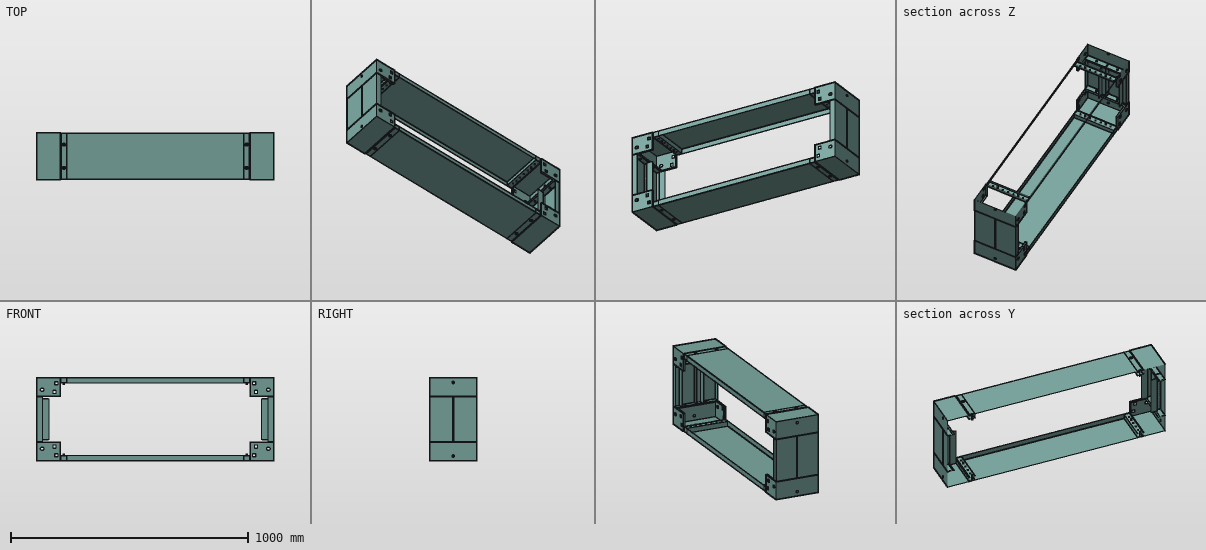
import cadquery as cq

LENGTH = 1000.0
WIDTH = 200.0
HEIGHT = 353.0
END = LENGTH / 2
SIDE = WIDTH / 2
MID_Z = HEIGHT / 2

SHEET = 2.0

BRACKET_LENGTH = 100.0
BRACKET_HEIGHT = 81.0
SIDE_LIP = 9.0
FRONT_LIP_HEIGHT = 21.0
LEDGE_DEPTH = 32.0
SQUARE_HOLE = 12.0
SQUARE_HOLE_SPOTS = [(83.0, 25.0), (75.0, 61.0)]
SLOT_LENGTH = 15.0
SLOT_HEIGHT = 12.0
SLOT_SPOT = (23.0, 52.0)
END_HOLE = 10.0
END_HOLE_Z = 21.0

COVER_GAP = 1.0
COVER_HEIGHT = HEIGHT - 2 * BRACKET_HEIGHT
COVER_WIDTH = SIDE - COVER_GAP
COVER_DEPTH = 25.0
COVER_HOLE = 8.0
RETURN_WIDTH = 19.0
FIN_REACH = 53.0
FIN_END_GAP = 9.0
FIN_ROUND = 5.0

PANEL_SHEET = 1.5
PANEL_GAP = 2.0
PANEL_END = END - BRACKET_LENGTH - PANEL_GAP
PANEL_SIDE = SIDE - PANEL_GAP
PANEL_DEPTH = 24.0
PANEL_CHAMFER = 2.0
FLANGE_CORNER = 3.0
RAIL_WIDTH = 26.0
RAIL_SIDE_GAP = 1.5
RAIL_HOLE = 5.0
RAIL_HOLE_YS = [-72.0, -26.0, 0, 26.0, 72.0]
STUD_X = 385.0
STUD_Y = 49.0
STUD_DIAMETER = 6.0
STUD_TOP = 30.0
STUD_RECESS = 13.0
STUD_RECESS_DEPTH = 1.0


def block(x_range, y_range, z_range):
    """A box between the given limits."""
    limits = (x_range, y_range, z_range)
    size = [high - low for low, high in limits]
    corner = tuple(low for low, high in limits)
    return cq.Workplane().box(*size, centered=False).translate(corner)


def make_bracket():
    """Bracket at the lower +X corner."""
    start = END - BRACKET_LENGTH
    inner_side = SIDE - SHEET
    lip_side = SIDE - SIDE_LIP
    rim_z = BRACKET_HEIGHT - SHEET

    body = block((start, END), (-SIDE, SIDE), (0, BRACKET_HEIGHT))
    body = body.cut(
        block((start + SHEET, END - SHEET), (-inner_side, inner_side), (SHEET, BRACKET_HEIGHT))
    )
    body = body.cut(
        block((start, start + SHEET), (-lip_side, lip_side), (FRONT_LIP_HEIGHT, BRACKET_HEIGHT))
    )

    for lip_y in ((-SIDE, -lip_side), (lip_side, SIDE)):
        body = body.union(block((start, END), lip_y, (rim_z, BRACKET_HEIGHT)))
    body = body.union(block((END - LEDGE_DEPTH, END), (-SIDE, SIDE), (rim_z, BRACKET_HEIGHT)))

    side_plane = cq.Workplane("XZ", origin=(END, SIDE, 0))
    square_spots = [(-inset, z) for inset, z in SQUARE_HOLE_SPOTS]
    square_holes = side_plane.pushPoints(square_spots).rect(SQUARE_HOLE, SQUARE_HOLE).extrude(WIDTH)
    slot_inset, slot_z = SLOT_SPOT
    slot = side_plane.center(-slot_inset, slot_z).slot2D(SLOT_LENGTH, SLOT_HEIGHT).extrude(WIDTH)

    end_plane = cq.Workplane("YZ", origin=(END - SHEET, 0, END_HOLE_Z))
    end_hole = end_plane.circle(END_HOLE / 2).extrude(SHEET)
    return body.cut(square_holes).cut(slot).cut(end_hole)


def make_cover(y_start):
    """End cover at +X, reaching from y_start toward +Y."""
    bottom = BRACKET_HEIGHT
    top = bottom + COVER_HEIGHT
    rim = END - COVER_DEPTH
    y_end = y_start + COVER_WIDTH

    body = block((rim, END), (y_start, y_end), (bottom, top))
    hollow_y = (y_start + SHEET, y_end - SHEET)
    body = body.cut(block((rim, END - SHEET), hollow_y, (bottom + SHEET, top - SHEET)))

    fin_z = (bottom + FIN_END_GAP, top - FIN_END_GAP)
    fin_y = y_end - RETURN_WIDTH
    body = body.union(block((rim, rim + SHEET), (fin_y, y_end), fin_z))
    fin = block((END - FIN_REACH, rim + SHEET), (fin_y, fin_y + SHEET), fin_z)
    fin = fin.edges("|Y and <X").fillet(FIN_ROUND)
    body = body.union(fin)

    hole_center = (END - COVER_DEPTH / 2, y_start + COVER_WIDTH / 2, bottom)
    hole = cq.Workplane(origin=hole_center).circle(COVER_HOLE / 2).extrude(COVER_HEIGHT)
    return body.cut(hole)


def make_rail():
    """Hollow rail across the +X end of the long panel."""
    start = PANEL_END - RAIL_WIDTH
    rail_side = PANEL_SIDE - PANEL_SHEET - RAIL_SIDE_GAP
    rail_y = (-rail_side, rail_side)
    rail = block((start, PANEL_END), rail_y, (0, PANEL_DEPTH))
    rail = rail.edges(">X and <Z").chamfer(PANEL_CHAMFER)
    hollow_x = (start + PANEL_SHEET, PANEL_END - PANEL_SHEET)
    rail = rail.cut(block(hollow_x, rail_y, (PANEL_SHEET, PANEL_DEPTH - PANEL_SHEET)))

    hole_spots = [(start + RAIL_WIDTH / 2, y) for y in RAIL_HOLE_YS]
    upper_wall = cq.Workplane(origin=(0, 0, PANEL_DEPTH - PANEL_SHEET))
    holes = upper_wall.pushPoints(hole_spots).circle(RAIL_HOLE / 2).extrude(PANEL_SHEET)
    return rail.cut(holes)


def make_panel():
    """Lower long panel."""
    panel_x = (-PANEL_END, PANEL_END)

    body = block(panel_x, (-PANEL_SIDE, PANEL_SIDE), (0, PANEL_DEPTH))
    body = body.faces("<Z").edges().chamfer(PANEL_CHAMFER)
    body = body.edges("|Y and >Z").chamfer(FLANGE_CORNER)
    inner_side = PANEL_SIDE - PANEL_SHEET
    body = body.cut(block(panel_x, (-inner_side, inner_side), (PANEL_SHEET, PANEL_DEPTH)))

    for rail in with_opposite_end(make_rail()):
        body = body.union(rail)

    stud_spots = [(x, y) for x in (-STUD_X, STUD_X) for y in (-STUD_Y, STUD_Y)]
    stud_points = cq.Workplane().pushPoints(stud_spots)
    studs = stud_points.circle(STUD_DIAMETER / 2).extrude(STUD_TOP)
    recesses = stud_points.circle(STUD_RECESS / 2).extrude(STUD_RECESS_DEPTH)
    return body.union(studs).cut(recesses)


def with_opposite_end(body):
    """The body and its mirror image at the -X end."""
    return [body, body.mirror("YZ")]


def with_upper_copy(body):
    """The body and its mirror image at the top of the frame."""
    return [body, body.mirror("XY", (0, 0, MID_Z))]


brackets = []
for lower_bracket in with_opposite_end(make_bracket()):
    brackets += with_upper_copy(lower_bracket)

covers = []
for cover_start in (COVER_GAP / 2 - SIDE, COVER_GAP / 2):
    covers += with_opposite_end(make_cover(cover_start))

panels = with_upper_copy(make_panel())

result = cq.Compound.makeCompound([body.solids().val() for body in brackets + covers + panels])